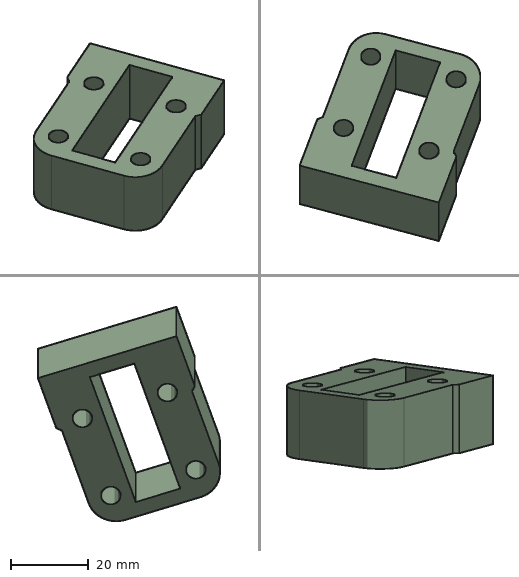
import cadquery as cq

length = 45.15
height = 18.0
rear_width = 37.5
front_width = 35.2
rear_length = 14.9
corner_radius = 7.5

window_width = 12.0
window_length = 37.2

hole_diameter = 5.0
hole_spacing = 23.0
hole_row_from_rear = 14.4

rear_y = length / 2
front_y = -length / 2
step = (rear_width - front_width) / 2
step_start_y = rear_y - rear_length
step_end_y = step_start_y - step
hole_pattern_y = rear_y - hole_row_from_rear - hole_spacing / 2


def make_block():
    """Extruded outline: wide rear, 45 degree steps, rounded front corners."""
    rear_x = rear_width / 2
    front_x = front_width / 2
    outline = [
        (-rear_x, rear_y),
        (rear_x, rear_y),
        (rear_x, step_start_y),
        (front_x, step_end_y),
        (front_x, front_y),
        (-front_x, front_y),
        (-front_x, step_end_y),
        (-rear_x, step_start_y),
    ]
    block = cq.Workplane("XY").polyline(outline).close().extrude(height)
    return block.edges("|Z").edges("<Y").fillet(corner_radius)


def make_window():
    """Cutter for the central rectangular window."""
    return cq.Workplane("XY").rect(window_width, window_length).extrude(height)


def make_holes():
    """Cutters for the four through holes."""
    return (
        cq.Workplane("XY")
        .center(0, hole_pattern_y)
        .rarray(hole_spacing, hole_spacing, 2, 2)
        .circle(hole_diameter / 2)
        .extrude(height)
    )


result = make_block().cut(make_window()).cut(make_holes())